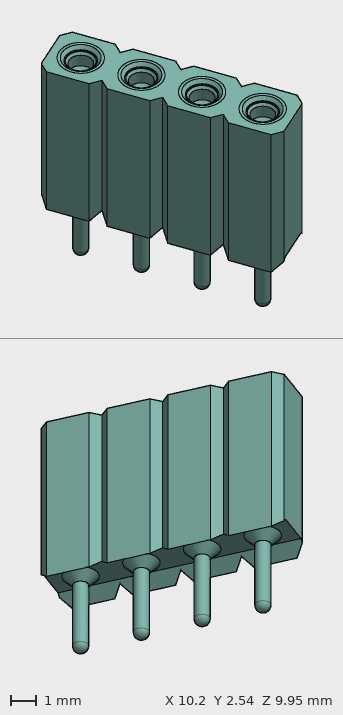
import cadquery as cq
import math

CONTACT_COUNT = 4
STRIP_LENGTH = 10.16
PITCH = STRIP_LENGTH / CONTACT_COUNT

HOUSING_WIDTH = 2.54
HOUSING_HEIGHT = 7.0
CORNER_CHAMFER = 0.38
CHANNEL_DEPTH = 0.51

TOTAL_HEIGHT = 9.95
HEAD_DIAMETER = 1.82
HEAD_HEIGHT = 1.02
BARREL_DIAMETER = 1.53
TAIL_DIAMETER = 0.63
TAPER_EXPOSED_HEIGHT = 0.41

MOUTH_DIAMETER = 1.57
SEAT_OUTER_DIAMETER = 1.29
SEAT_INNER_DIAMETER = 1.2
LAND_HEIGHT = 0.05
BORE_DIAMETER = 1.0
BORE_DEPTH = 0.83
DRILL_POINT_ANGLE = 118.0

HEAD_RADIUS = HEAD_DIAMETER / 2
BARREL_RADIUS = BARREL_DIAMETER / 2
TAIL_RADIUS = TAIL_DIAMETER / 2
MOUTH_RADIUS = MOUTH_DIAMETER / 2
SEAT_OUTER_RADIUS = SEAT_OUTER_DIAMETER / 2
SEAT_INNER_RADIUS = SEAT_INNER_DIAMETER / 2
BORE_RADIUS = BORE_DIAMETER / 2

HOUSING_BOTTOM = -HOUSING_HEIGHT
CHANNEL_CEILING = HOUSING_BOTTOM + CHANNEL_DEPTH
TAPER_BOTTOM = CHANNEL_CEILING - TAPER_EXPOSED_HEIGHT
TAPER_TOP = TAPER_BOTTOM + BARREL_RADIUS - TAIL_RADIUS
TIP_BOTTOM = -TOTAL_HEIGHT
TIP_TOP = TIP_BOTTOM + TAIL_RADIUS
SEAT_LEVEL = SEAT_OUTER_RADIUS - MOUTH_RADIUS
LAND_BOTTOM = SEAT_LEVEL - LAND_HEIGHT
BORE_TOP = LAND_BOTTOM + BORE_RADIUS - SEAT_INNER_RADIUS
DRILL_POINT_BOTTOM = -BORE_DEPTH - BORE_RADIUS / math.tan(math.radians(DRILL_POINT_ANGLE / 2))

CONTACT_POSITIONS = [(i - (CONTACT_COUNT - 1) / 2) * PITCH for i in range(CONTACT_COUNT)]


def make_contact_profile():
    """Half section of a contact in the XZ plane, closed along its axis."""
    sin_45 = math.sin(math.radians(45))
    return (
        cq.Workplane("XZ")
        .moveTo(0, DRILL_POINT_BOTTOM)
        .lineTo(BORE_RADIUS, -BORE_DEPTH)
        .lineTo(BORE_RADIUS, BORE_TOP)
        .lineTo(SEAT_INNER_RADIUS, LAND_BOTTOM)
        .lineTo(SEAT_INNER_RADIUS, SEAT_LEVEL)
        .lineTo(SEAT_OUTER_RADIUS, SEAT_LEVEL)
        .lineTo(MOUTH_RADIUS, 0)
        .lineTo(HEAD_RADIUS, 0)
        .lineTo(HEAD_RADIUS, -HEAD_HEIGHT)
        .lineTo(BARREL_RADIUS, -HEAD_HEIGHT)
        .lineTo(BARREL_RADIUS, TAPER_TOP)
        .lineTo(TAIL_RADIUS, TAPER_BOTTOM)
        .lineTo(TAIL_RADIUS, TIP_TOP)
        .threePointArc(
            (TAIL_RADIUS * sin_45, TIP_TOP - TAIL_RADIUS * sin_45),
            (0, TIP_BOTTOM),
        )
        .close()
    )


def make_contact(x):
    """One turned contact with its axis at the given X."""
    return make_contact_profile().revolve(360, (0, 0), (0, 1)).translate((x, 0, 0))


def make_cell(x):
    """One octagonal cell of the housing, centred at the given X."""
    return (
        cq.Workplane("XY", origin=(x, 0, HOUSING_BOTTOM))
        .rect(PITCH, HOUSING_WIDTH)
        .extrude(HOUSING_HEIGHT)
        .edges("|Z")
        .chamfer(CORNER_CHAMFER)
    )


def make_channel():
    """Trapezoid cut along the underside, as wide as the housing at its mouth."""
    half_mouth = HOUSING_WIDTH / 2
    half_ceiling = half_mouth - CHANNEL_DEPTH
    return (
        cq.Workplane("YZ")
        .moveTo(-half_mouth, HOUSING_BOTTOM)
        .lineTo(-half_ceiling, CHANNEL_CEILING)
        .lineTo(half_ceiling, CHANNEL_CEILING)
        .lineTo(half_mouth, HOUSING_BOTTOM)
        .close()
        .extrude(STRIP_LENGTH / 2, both=True)
    )


def make_contact_seat(x):
    """Stepped hole that takes the head, barrel and taper of one contact."""
    outline = (
        cq.Workplane("XZ")
        .moveTo(0, 0)
        .lineTo(HEAD_RADIUS, 0)
        .lineTo(HEAD_RADIUS, -HEAD_HEIGHT)
        .lineTo(BARREL_RADIUS, -HEAD_HEIGHT)
        .lineTo(BARREL_RADIUS, TAPER_TOP)
        .lineTo(TAIL_RADIUS, TAPER_BOTTOM)
        .lineTo(0, TAPER_BOTTOM)
        .close()
    )
    return outline.revolve(360, (0, 0), (0, 1)).translate((x, 0, 0))


def make_housing():
    """Row of joined cells with the underside channel and the contact holes."""
    housing = make_cell(CONTACT_POSITIONS[0])
    for x in CONTACT_POSITIONS[1:]:
        housing = housing.union(make_cell(x))
    housing = housing.cut(make_channel())
    for x in CONTACT_POSITIONS:
        housing = housing.cut(make_contact_seat(x))
    return housing


housing = make_housing()
contacts = [make_contact(x) for x in CONTACT_POSITIONS]

result = cq.Compound.makeCompound([housing.val(), *[contact.val() for contact in contacts]])